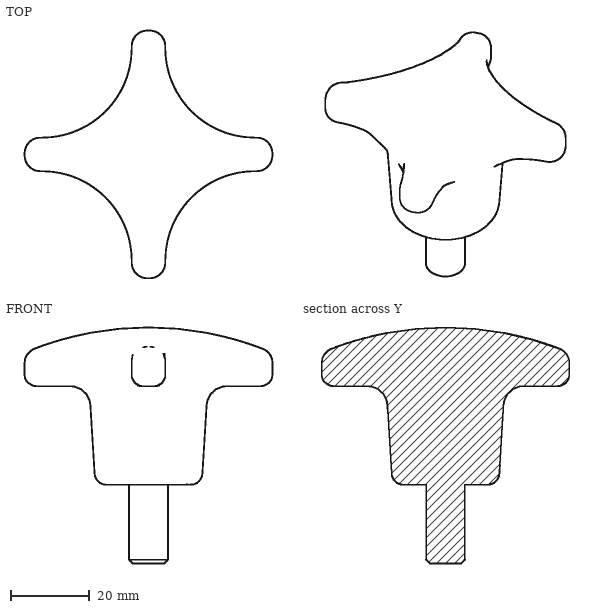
import cadquery as cq
import math

tip_reach = 31.5
arm_half_width = 4.3
notch_radius = 22.7
tip_bow_radius = 5.0
tip_corner_round = 4.0

underside_z = 25.0
apex_z = 40.0
dome_radius = 80.0
top_round = 3.9
underside_round = 3.0

hub_base_radius = 13.55
hub_taper = math.radians(3.5)
hub_base_round = 3.0
blend_radius = 5.0

stud_diameter = 10.0
stud_length = 20.0
stud_chamfer = 1.0

sections_per_quarter = 13
core_radius = 7.55
core_overlap = 1.25
blank_margin = 3.8
blank_radius = tip_reach + blank_margin
blank_height = apex_z + blank_margin

wall_tolerance = 0.003

notch_center = arm_half_width + notch_radius
notch_center_distance = notch_center * math.sqrt(2)

hub_slope = math.tan(hub_taper)
blend_base_r = hub_base_radius + blend_radius / math.cos(hub_taper)


def arc_points(center_r, center_z, radius, start, end):
    """Start, middle and end points of an arc in the radius-height plane."""
    angles = (start, (start + end) / 2, end)
    return [(center_r + radius * math.cos(a), center_z + radius * math.sin(a)) for a in angles]


def blend_center(angle):
    """Blend arc centre in the radial plane at this angle from the +X arm."""
    full_z = underside_z - blend_radius
    full_r = blend_base_r + full_z * hub_slope
    off_diagonal = angle % (math.pi / 2) - math.pi / 4
    along = notch_center_distance * math.cos(off_diagonal)
    across = notch_center_distance * math.sin(off_diagonal)
    wall_r = along - math.sqrt(max(notch_radius**2 - across**2, 0))
    if wall_r > full_r:
        return full_r, full_z

    gap = blend_base_r + underside_z * hub_slope - wall_r
    squared_term = 1 + hub_slope**2
    half_linear_term = gap * hub_slope
    constant_term = gap**2 - blend_radius**2
    root = math.sqrt(half_linear_term**2 - squared_term * constant_term)
    drop = (half_linear_term + root) / squared_term
    center_z = underside_z - drop
    return blend_base_r + center_z * hub_slope, center_z


def blank_section(angle):
    """Radial section of hub, blend and uncut head, turned to this angle."""
    base_center_r = hub_base_radius + hub_base_round * (hub_slope - 1 / math.cos(hub_taper))
    base_start, base_middle, base_end = arc_points(
        base_center_r, hub_base_round, hub_base_round, -math.pi / 2, -hub_taper
    )
    blend_start, blend_middle, blend_end = arc_points(
        *blend_center(angle), blend_radius, math.pi - hub_taper, math.pi / 2
    )
    inner_radius = core_radius - core_overlap
    profile = (
        cq.Workplane("XZ")
        .moveTo(inner_radius, 0)
        .lineTo(*base_start)
        .threePointArc(base_middle, base_end)
        .lineTo(*blend_start)
        .threePointArc(blend_middle, blend_end)
        .lineTo(blank_radius, blend_end[1])
        .lineTo(blank_radius, blank_height)
        .lineTo(inner_radius, blank_height)
        .close()
    )
    return profile.val().rotate(cq.Vector(0, 0, 0), cq.Vector(0, 0, 1), math.degrees(angle))


def blank():
    """Hub and blend below an oversized head, made of four equal quarters."""
    step = math.pi / 2 / (sections_per_quarter - 1)
    sections = [blank_section(i * step - math.pi / 4) for i in range(sections_per_quarter)]
    quarter = cq.Workplane(cq.Solid.makeLoft(sections))
    body = cq.Workplane("XY").circle(core_radius).extrude(blank_height)
    for turn in range(4):
        body = body.union(quarter.rotate((0, 0, 0), (0, 0, 1), 90 * turn))
    return body


def star_prism():
    """Tall prism with four bow-ended arms separated by concave notches."""
    bow_center = tip_reach - tip_bow_radius
    corner = bow_center + math.sqrt(tip_bow_radius**2 - arm_half_width**2)
    notch_depth = notch_center - notch_radius * math.sqrt(0.5)
    outline = cq.Workplane("XY").moveTo(corner, -arm_half_width)
    for cos_turn, sin_turn in [(1, 0), (0, 1), (-1, 0), (0, -1)]:

        def turned(x, y):
            return (x * cos_turn - y * sin_turn, x * sin_turn + y * cos_turn)

        outline = (
            outline.threePointArc(turned(tip_reach, 0), turned(corner, arm_half_width))
            .lineTo(*turned(notch_center, arm_half_width))
            .threePointArc(turned(notch_depth, notch_depth), turned(arm_half_width, notch_center))
            .lineTo(*turned(arm_half_width, corner))
        )
    prism = outline.close().extrude(blank_height)
    corner_distance = math.hypot(corner, arm_half_width)

    def at_corner(edge):
        middle = edge.positionAt(0.5)
        return abs(math.hypot(middle.x, middle.y) - corner_distance) < wall_tolerance

    return prism.edges("|Z").filter(at_corner).fillet(tip_corner_round)


def handle():
    """Star head on its hub, with the upper and lower head edges rounded."""
    prism = star_prism()
    walls = cq.Compound.makeCompound(prism.faces("not |Z").vals())
    dome = cq.Workplane("XY", origin=(0, 0, apex_z - dome_radius)).sphere(dome_radius)
    body = blank().intersect(prism).intersect(dome)

    def on_wall(edge):
        middle = cq.Vertex.makeVertex(*edge.positionAt(0.5).toTuple())
        return middle.distance(walls) < wall_tolerance

    def is_upper(edge):
        return edge.positionAt(0.5).z > (underside_z + apex_z) / 2

    def is_lower(edge):
        return not is_upper(edge)

    body = body.edges("not |Z").filter(on_wall).filter(is_upper).fillet(top_round)
    return body.edges("not |Z").filter(on_wall).filter(is_lower).fillet(underside_round)


def stud():
    """Plain stud below the hub with a chamfered end."""
    rod = cq.Workplane("XY").circle(stud_diameter / 2).extrude(-stud_length)
    return rod.faces("<Z").edges().chamfer(stud_chamfer)


result = handle().union(stud())